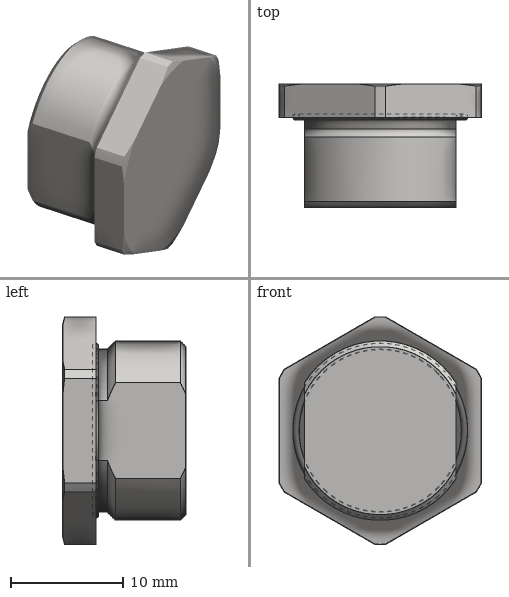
import cadquery as cq
import math

across_flats = 18.0
head_thickness = 3.0
head_radius = 10.15
head_chamfer_width = 0.7
head_chamfer_angle = 15.0

shank_length = 8.0
shank_radius = 8.0
neck_radius = 7.26
neck_length = 1.0
tip_chamfer = 0.5
shank_across_flats = 13.5

ring_section_radius = 0.28
ring_protrusion = 0.22
ring_center_radius = 7.5


def revolve_about_y(points):
    """Revolve a closed (radius, y) outline a full turn about the Y axis."""
    return cq.Workplane("XY").polyline(points).close().revolve(360, (0, 0, 0), (0, 1, 0))


def make_head():
    """Hexagon with two faces square to X, trimmed and chamfered by a revolved blank."""
    across_corners = across_flats / math.cos(math.pi / 6)
    hexagon = (
        cq.Workplane("XZ")
        .transformed(rotate=(0, 0, 90))
        .polygon(6, across_corners)
        .extrude(-head_thickness)
    )
    chamfer_depth = head_chamfer_width * math.tan(math.radians(head_chamfer_angle))
    blank = revolve_about_y([
        (0, 0),
        (head_radius, 0),
        (head_radius, head_thickness - chamfer_depth),
        (head_radius - head_chamfer_width, head_thickness),
        (0, head_thickness),
    ])
    return hexagon.intersect(blank)


def make_shank():
    """Turned shank with a relief neck and chamfered tip, cut by two flats square to X."""
    shoulder_height = shank_radius - neck_radius
    turned = revolve_about_y([
        (0, 0),
        (neck_radius, 0),
        (neck_radius, -neck_length),
        (shank_radius, -neck_length - shoulder_height),
        (shank_radius, tip_chamfer - shank_length),
        (shank_radius - tip_chamfer, -shank_length),
        (0, -shank_length),
    ])
    between_flats = cq.Workplane("XZ").rect(shank_across_flats, 2 * shank_radius).extrude(shank_length)
    return turned.intersect(between_flats)


def make_ring():
    """Round-section sealing ring standing proud of the bearing face."""
    section_center_y = ring_section_radius - ring_protrusion
    return (
        cq.Workplane("XY")
        .center(ring_center_radius, section_center_y)
        .circle(ring_section_radius)
        .revolve(360, (-ring_center_radius, 0, 0), (-ring_center_radius, 1, 0))
    )


ring = make_ring()
plug = make_head().union(make_shank()).cut(ring)

result = cq.Compound.makeCompound([plug.solids().val(), ring.solids().val()])